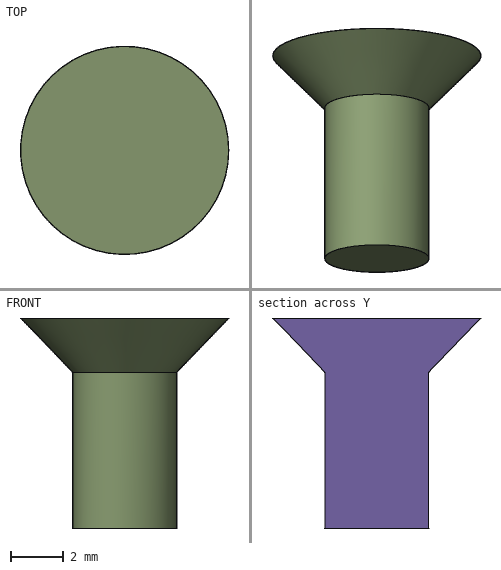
import cadquery as cq

total_height = 8.07
head_diameter = 8.0
shank_diameter = 4.0
shank_length = 6.0

head_radius = head_diameter / 2
shank_radius = shank_diameter / 2

half_profile = (
    cq.Workplane("XZ")
    .moveTo(0, 0)
    .lineTo(shank_radius, 0)
    .lineTo(shank_radius, shank_length)
    .lineTo(head_radius, total_height)
    .lineTo(0, total_height)
    .close()
)

result = half_profile.revolve(360, (0, 0, 0), (0, 1, 0))